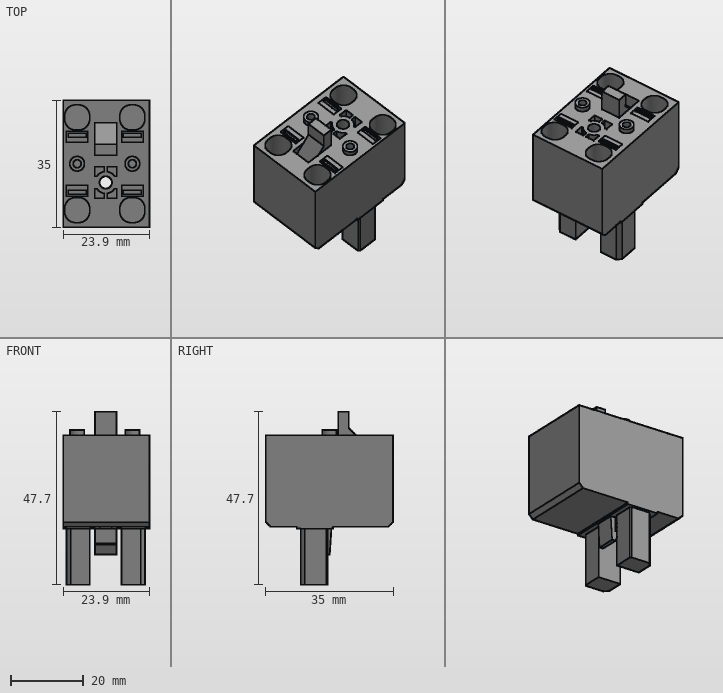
import cadquery as cq


HOUSING_LEFT = -11.48
HOUSING_WIDTH = 23.86
HOUSING_DEPTH = 35.05
HOUSING_HEIGHT = 25.2
BOTTOM_CHAMFER = 1.3

BAND_FRONT = -9.0
BAND_BACK = 1.05
BAND_HEIGHT = 0.5
BAND_BOTTOM = -BAND_HEIGHT

COLUMN_X = 7.6

BOSS_DIAMETER = 4.05
BOSS_BORE = 2.2
BOSS_HEIGHT = 1.45
BOSS_BORE_DEPTH = 8.0

WELL_Y = 12.75
WELL_SIZE = 6.9
WELL_CORNER_RADIUS = 3.0
WELL_DEPTH = 15.0

CONTACT_Y = 7.4
CONTACT_SIZE_X = 5.95
CONTACT_SIZE_Y = 3.0
CONTACT_LENGTH = 12.0
SLOT_SIZE_X = 5.0
SLOT_SIZE_Y = 1.0
SLOT_DEPTH = 0.5
SLOT_OFFSET = 0.43

MECHANISM_X = 0.27

SCREW_Y = -5.16
SCREW_DIAMETER = 3.35
COLLAR_DIAMETER = 6.0
RELIEF_SIZE_X = 6.1
RELIEF_SIZE_Y = 8.6
RELIEF_RIB = 0.87
RELIEF_CROSS_GAP = 3.4
RELIEF_DEPTH = 6.0

LEG_SPAN = 21.66
LEG_WIDTH = 6.5
LEG_FRONT = -7.9
LEG_BACK = -0.5
LEG_LENGTH = 15.5
LEG_FRONT_CHAMFER = 1.15
LEG_BACK_CHAMFER = 0.4

LEVER_WIDTH = 5.95
LEVER_FRONT = 2.4
STEM_THICKNESS = 2.95
STEM_RISE = 6.5
STEM_TOP = HOUSING_HEIGHT + STEM_RISE
STEM_BACK = LEVER_FRONT + STEM_THICKNESS
RAMP_RUN = 6.0
RAMP_TOP_RISE = 2.0
RAMP_TOP = HOUSING_HEIGHT + RAMP_TOP_RISE
RAMP_BOTTOM = RAMP_TOP - RAMP_RUN
LEVER_BACK = STEM_BACK + RAMP_RUN
FOOT_TOP = 12.0
FOOT_BOTTOM = 9.0
LATCH_FRONT = -1.0
LATCH_BACK = 0.6
LATCH_TIP_BACK = 0.12
HOOK_FRONT = -2.2
HOOK_LEDGE = BAND_BOTTOM - 4.1
HOOK_LIP = 0.3
LATCH_TIP = BAND_BOTTOM - 7.15


def block(left, right, front, back, bottom, top):
    """Box given by its six faces."""
    size = (right - left, back - front, top - bottom)
    return cq.Workplane("XY").box(*size, centered=False).translate((left, front, bottom))


def extrude_across(outline, left, width):
    """Extrude a closed (Y, Z) outline along +X from the given left side."""
    return cq.Workplane("YZ").workplane(offset=left).polyline(outline).close().extrude(width)


def four_points(x, y):
    """Points mirrored into all four quadrants."""
    return [(side_x * x, side_y * y) for side_x in (-1, 1) for side_y in (-1, 1)]


LEVER_LEFT = MECHANISM_X - LEVER_WIDTH / 2


def make_lever():
    """Push stem with a sloped back, on a foot that carries a hooked latch downwards."""
    outline = [
        (LEVER_FRONT, STEM_TOP),
        (STEM_BACK, STEM_TOP),
        (STEM_BACK, RAMP_TOP),
        (LEVER_BACK, RAMP_BOTTOM),
        (LEVER_BACK, FOOT_BOTTOM),
        (LATCH_BACK, FOOT_BOTTOM),
        (LATCH_BACK, BAND_BOTTOM),
        (LATCH_TIP_BACK, LATCH_TIP),
        (LATCH_FRONT, LATCH_TIP),
        (HOOK_FRONT, HOOK_LEDGE - HOOK_LIP),
        (HOOK_FRONT, HOOK_LEDGE),
        (LATCH_FRONT, HOOK_LEDGE),
        (LATCH_FRONT, FOOT_TOP),
        (LEVER_FRONT, FOOT_TOP),
    ]
    return extrude_across(outline, LEVER_LEFT, LEVER_WIDTH)


def make_lever_opening():
    """Opening above the lever's ramp; everything below it is filled by the lever itself."""
    return block(
        LEVER_LEFT, LEVER_LEFT + LEVER_WIDTH, LEVER_FRONT, LEVER_BACK, RAMP_BOTTOM, HOUSING_HEIGHT
    )


def make_contact_blank():
    """Plain contact block centred on the Z axis, its top level with the housing top."""
    return (
        cq.Workplane("XY")
        .workplane(offset=HOUSING_HEIGHT)
        .rect(CONTACT_SIZE_X, CONTACT_SIZE_Y)
        .extrude(-CONTACT_LENGTH)
    )


def make_contact(x, y):
    """Contact with its slot shifted away from the middle of the housing."""
    outward = 1 if y > 0 else -1
    slot = (
        cq.Workplane("XY")
        .workplane(offset=HOUSING_HEIGHT)
        .center(0, outward * SLOT_OFFSET)
        .rect(SLOT_SIZE_X, SLOT_SIZE_Y)
        .extrude(-SLOT_DEPTH)
    )
    return make_contact_blank().cut(slot).translate((x, y, 0))


def make_housing_block():
    """Block with chamfered bottom front and back edges and the raised band underneath."""
    half_depth = HOUSING_DEPTH / 2
    outline = [
        (-half_depth, HOUSING_HEIGHT),
        (-half_depth, BOTTOM_CHAMFER),
        (-half_depth + BOTTOM_CHAMFER, 0),
        (BAND_FRONT, 0),
        (BAND_FRONT, BAND_BOTTOM),
        (BAND_BACK, BAND_BOTTOM),
        (BAND_BACK, 0),
        (half_depth - BOTTOM_CHAMFER, 0),
        (half_depth, BOTTOM_CHAMFER),
        (half_depth, HOUSING_HEIGHT),
    ]
    return extrude_across(outline, HOUSING_LEFT, HOUSING_WIDTH)


def make_leg(side):
    """Leg below the band, chamfered on its two outer vertical edges; side is -1 or 1 in X."""
    outer = LEG_SPAN / 2
    inner = outer - LEG_WIDTH
    outline = [
        (inner, LEG_FRONT),
        (outer - LEG_FRONT_CHAMFER, LEG_FRONT),
        (outer, LEG_FRONT + LEG_FRONT_CHAMFER),
        (outer, LEG_BACK - LEG_BACK_CHAMFER),
        (outer - LEG_BACK_CHAMFER, LEG_BACK),
        (inner, LEG_BACK),
    ]
    points = [(MECHANISM_X + side * x, y) for x, y in outline]
    return cq.Workplane("XY").workplane(offset=BAND_BOTTOM).polyline(points).close().extrude(-LEG_LENGTH)


def make_screw_reliefs():
    """Four blind pockets around the collar of the screw hole."""
    top = cq.Workplane("XY").workplane(offset=HOUSING_HEIGHT).center(MECHANISM_X, SCREW_Y)
    pocket_x = (RELIEF_SIZE_X - RELIEF_RIB) / 2
    pocket_y = (RELIEF_SIZE_Y - RELIEF_CROSS_GAP) / 2
    centres = four_points((RELIEF_SIZE_X - pocket_x) / 2, (RELIEF_SIZE_Y - pocket_y) / 2)
    pockets = top.pushPoints(centres).rect(pocket_x, pocket_y).extrude(-RELIEF_DEPTH)
    collar = top.circle(COLLAR_DIAMETER / 2).extrude(-RELIEF_DEPTH)
    return pockets.cut(collar)


def make_wells():
    """Four rounded-square blind wells near the corners of the top face."""
    return (
        cq.Workplane("XY")
        .workplane(offset=HOUSING_HEIGHT)
        .pushPoints(four_points(COLUMN_X, WELL_Y))
        .rect(WELL_SIZE, WELL_SIZE)
        .extrude(-WELL_DEPTH)
        .edges("|Z")
        .fillet(WELL_CORNER_RADIUS)
    )


def make_housing(lever):
    housing = make_housing_block()
    for side in (-1, 1):
        housing = housing.union(make_leg(side))

    boss_points = [(-COLUMN_X, 0), (COLUMN_X, 0)]
    top = cq.Workplane("XY").workplane(offset=HOUSING_HEIGHT)
    boss_top = cq.Workplane("XY").workplane(offset=HOUSING_HEIGHT + BOSS_HEIGHT)
    housing = housing.union(top.pushPoints(boss_points).circle(BOSS_DIAMETER / 2).extrude(BOSS_HEIGHT))
    housing = housing.cut(boss_top.pushPoints(boss_points).circle(BOSS_BORE / 2).extrude(-BOSS_BORE_DEPTH))

    screw_hole = (
        top.center(MECHANISM_X, SCREW_Y)
        .circle(SCREW_DIAMETER / 2)
        .extrude(-(HOUSING_HEIGHT + BAND_HEIGHT))
    )
    housing = housing.cut(screw_hole).cut(make_screw_reliefs()).cut(make_wells())

    for x, y in four_points(COLUMN_X, CONTACT_Y):
        housing = housing.cut(make_contact_blank().translate((x, y, 0)))
    return housing.cut(lever).cut(make_lever_opening())


lever = make_lever()
housing = make_housing(lever)
contacts = [make_contact(x, y) for x, y in four_points(COLUMN_X, CONTACT_Y)]

result = cq.Compound.makeCompound([housing.val(), lever.val(), *[contact.val() for contact in contacts]])